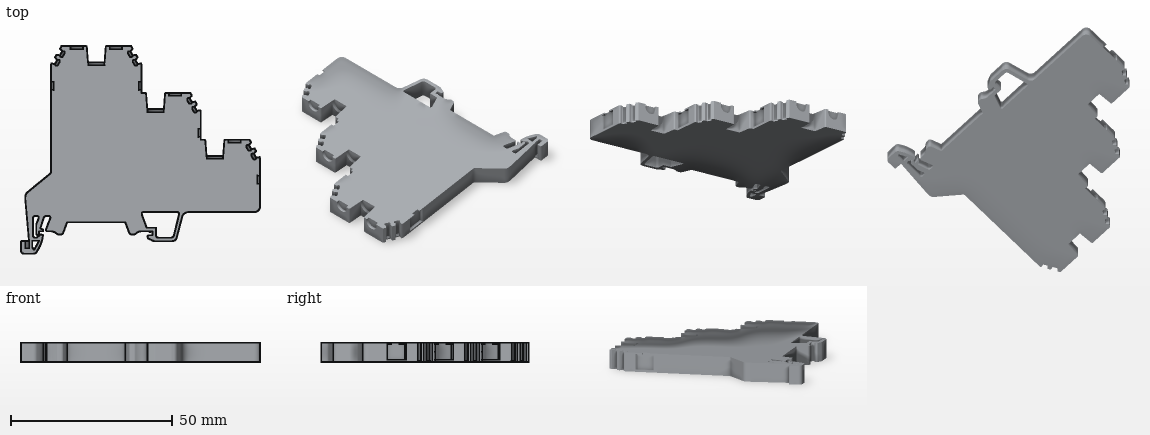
import cadquery as cq
import math

LENGTH = 74.3
HEIGHT = 64.51
THICKNESS = 6.0

TOWER_COUNT = 3
TOWER_PITCH = 18.4
TOWER_DROP = 14.55
TOWER_WIDTH = 28.15
TOWER_LEFT = LENGTH - (TOWER_COUNT - 1) * TOWER_PITCH - TOWER_WIDTH
EDGE_TO_VALLEY = TOWER_WIDTH / 2
EDGE_TO_SCREW = 8.0

VALLEY_TOP_WIDTH = 5.8
VALLEY_FLOOR_WIDTH = 5.1
VALLEY_DEPTH = 5.0
VALLEY_RIM_RADIUS = 0.4

BORE_AXIS_Z = 5.2
SCREW_BORE_RADIUS = 2.05
JUMPER_BORE_RADIUS = 2.6
BORE_DEPTH = 0.95

BEVEL_WIDTH = 3.28
BEVEL_HEIGHT = 5.7
BEVEL_LENGTH = math.hypot(BEVEL_WIDTH, BEVEL_HEIGHT)
BEVEL_EASE = 0.38
BEVEL_EASE_RADIUS = 1.4
NOTCH_COUNT = 2
NOTCH_FIRST = 2.05
NOTCH_PITCH = 3.1
NOTCH_MOUTH_WIDTH = 2.05
NOTCH_NECK_WIDTH = 1.5
NOTCH_DEPTH = 1.0
TAG_SLOT_LENGTH = 2.0
TAG_SLOT_WIDTH = 1.0
BLIND_FLOOR = 0.4

ENTRY_TOP = 9.0
ENTRY_BOTTOM = 14.9
ENTRY_SLOPE = 0.5
ENTRY_DEPTH = 0.9
ENTRY_Z_MIN = 0.67
ENTRY_Z_MAX = 5.55
ENTRY_WINDOW_TOP = 11.15
ENTRY_WINDOW_BOTTOM = 13.65

BASE_Y = 12.9
RAIL_SEAT_Y = 9.78
RAIL_LIP_Y = 6.95
RAIL_NOSE_Y = 5.97
CLAMP_FLOOR_Y = 5.02
CLAMP_FOOT_Y = 3.82
RELIEF_SLOT_TOP_Y = 11.7
RELIEF_SLOT_BOTTOM_Y = 5.02
BASE_CORNER_RADIUS = 1.9

RAIL_CENTRE_X = 23.4
NOSE_LIP_END = 14.04
NOSE_BLEND = (12.3, 6.24)
NOSE_FLAT_OUTER = 11.65
NOSE_FLAT_INNER = 11.0
NOSE_FLANK = (10.2, 6.54)
RAIL_SEAT_HALF = 9.0
NOSE_BLEND_RADIUS = 2.5
NOSE_OUTER_RADIUS = 0.9
NOSE_INNER_RADIUS = 0.85

TAB_TOP_Y = 4.05
TAB_CORNER_RADIUS = 1.0
TAB_RIM_RADIUS = 0.45
TAB_POCKET = ((1.43, 1.7), (2.63, TAB_TOP_Y))


def tower_edge(index):
    """Right-hand X and top Y of one tower, counted from the tallest."""
    right = LENGTH - (TOWER_COUNT - 1 - index) * TOWER_PITCH
    return right, HEIGHT - index * TOWER_DROP


def extrude_full(sketch):
    return sketch.close().extrude(THICKNESS)


def housing():
    """Housing block with the three tower steps and the sloped left shoulder."""
    ease_x = BEVEL_EASE * BEVEL_WIDTH / BEVEL_LENGTH
    ease_y = BEVEL_EASE * BEVEL_HEIGHT / BEVEL_LENGTH
    bevel_foot = HEIGHT - BEVEL_HEIGHT
    outline = (
        cq.Workplane("XY")
        .moveTo(TOWER_LEFT, bevel_foot - BEVEL_EASE)
        .radiusArc((TOWER_LEFT + ease_x, bevel_foot + ease_y), BEVEL_EASE_RADIUS)
        .lineTo(TOWER_LEFT + BEVEL_WIDTH, HEIGHT)
    )
    for index in range(TOWER_COUNT):
        right, top = tower_edge(index)
        bevel_foot = top - BEVEL_HEIGHT
        outline = (
            outline.lineTo(right - BEVEL_WIDTH, top)
            .lineTo(right - ease_x, bevel_foot + ease_y)
            .radiusArc((right, bevel_foot - BEVEL_EASE), BEVEL_EASE_RADIUS)
        )
        if index < TOWER_COUNT - 1:
            outline = outline.lineTo(right, top - TOWER_DROP)
    r = BASE_CORNER_RADIUS
    outline = outline.lineTo(LENGTH, BASE_Y + r).radiusArc((LENGTH - r, BASE_Y), r)
    outline = rail_clamp_edge(outline)
    outline = rail_seat_edge(outline)
    outline = release_foot_edge(outline)
    outline = shoulder_edge(outline)
    return extrude_full(outline)


def rail_clamp_edge(outline):
    """Fixed rail hook below the housing, drawn from right to left."""
    return (
        outline.lineTo(52.0, BASE_Y)
        .radiusArc((50.1, 11.4), -1.95)
        .lineTo(48.45, 5.1)
        .radiusArc((47.65, 4.05), 1.7)
        .lineTo(46.8, CLAMP_FOOT_Y)
        .lineTo(41.8, CLAMP_FOOT_Y)
        .radiusArc((41.3, 3.9), 1.6)
        .lineTo(39.36, 4.78)
        .lineTo(39.3, 5.45)
        .lineTo(39.7, 5.78)
        .lineTo(40.85, 5.78)
        .lineTo(40.85, RAIL_LIP_Y)
        .lineTo(40.4, RAIL_LIP_Y)
        .lineTo(40.1, 6.65)
        .lineTo(39.75, RAIL_LIP_Y)
    )


def rail_seat_edge(outline):
    """Flat rail seat between its two mirrored noses, drawn from right to left."""
    blend_x, blend_y = NOSE_BLEND
    flank_x, flank_y = NOSE_FLANK
    return (
        outline.lineTo(RAIL_CENTRE_X + NOSE_LIP_END, RAIL_LIP_Y)
        .radiusArc((RAIL_CENTRE_X + blend_x, blend_y), -NOSE_BLEND_RADIUS)
        .radiusArc((RAIL_CENTRE_X + NOSE_FLAT_OUTER, RAIL_NOSE_Y), NOSE_OUTER_RADIUS)
        .lineTo(RAIL_CENTRE_X + NOSE_FLAT_INNER, RAIL_NOSE_Y)
        .radiusArc((RAIL_CENTRE_X + flank_x, flank_y), NOSE_INNER_RADIUS)
        .lineTo(RAIL_CENTRE_X + RAIL_SEAT_HALF, RAIL_SEAT_Y)
        .lineTo(RAIL_CENTRE_X - RAIL_SEAT_HALF, RAIL_SEAT_Y)
        .lineTo(RAIL_CENTRE_X - flank_x, flank_y)
        .radiusArc((RAIL_CENTRE_X - NOSE_FLAT_INNER, RAIL_NOSE_Y), NOSE_INNER_RADIUS)
        .lineTo(RAIL_CENTRE_X - NOSE_FLAT_OUTER, RAIL_NOSE_Y)
        .radiusArc((RAIL_CENTRE_X - blend_x, blend_y), NOSE_OUTER_RADIUS)
        .radiusArc((RAIL_CENTRE_X - NOSE_LIP_END, RAIL_LIP_Y), -NOSE_BLEND_RADIUS)
    )


def release_foot_edge(outline):
    """Spring foot with its relief slots and release tab, drawn from right to left."""
    r = TAB_CORNER_RADIUS
    rim = TAB_RIM_RADIUS
    return (
        outline.lineTo(8.1, RAIL_LIP_Y)
        .radiusArc((7.85, 7.75), 0.6)
        .lineTo(9.1, 11.0)
        .radiusArc((8.6, RELIEF_SLOT_TOP_Y), -0.5)
        .lineTo(7.8, RELIEF_SLOT_TOP_Y)
        .radiusArc((7.1, 11.0), -0.9)
        .lineTo(6.1, 7.95)
        .lineTo(6.95, 7.5)
        .lineTo(6.95, RAIL_LIP_Y)
        .lineTo(5.66, RAIL_LIP_Y)
        .lineTo(5.66, 6.1)
        .radiusArc((5.2, 5.7), 0.35)
        .lineTo(4.75, 6.2)
        .lineTo(4.75, 9.15)
        .lineTo(5.5, 11.0)
        .radiusArc((5.0, RELIEF_SLOT_TOP_Y), -0.5)
        .lineTo(4.4, RELIEF_SLOT_TOP_Y)
        .radiusArc((3.83, 11.15), -0.6)
        .lineTo(3.83, 5.6)
        .radiusArc((4.4, RELIEF_SLOT_BOTTOM_Y), -0.6)
        .lineTo(4.85, RELIEF_SLOT_BOTTOM_Y)
        .lineTo(6.2, 6.05)
        .lineTo(6.95, 5.8)
        .threePointArc((6.18, 2.85), (5.04, 0.75))
        .radiusArc((3.84, 0), 1.33)
        .lineTo(r, 0)
        .radiusArc((0, r), r)
        .lineTo(0, TAB_TOP_Y - rim)
        .radiusArc((rim, TAB_TOP_Y), rim)
        .lineTo(2.5, TAB_TOP_Y)
    )


def shoulder_edge(outline):
    """Outer side of the spring leg and the sloped shoulder, drawn upwards to the tallest tower."""
    return (
        outline.lineTo(1.37, 16.7)
        .lineTo(1.37, 17.65)
        .radiusArc((2.03, 19.1), 1.95)
        .lineTo(8.99, 24.8)
        .radiusArc((TOWER_LEFT, 25.5), -0.95)
    )


def clamp_opening():
    """Opening that makes the fixed rail hook springy."""
    outline = (
        cq.Workplane("XY")
        .moveTo(38.0, BASE_Y)
        .lineTo(48.7, BASE_Y)
        .radiusArc((49.1, 12.3), 0.5)
        .lineTo(47.5, 5.8)
        .radiusArc((46.6, CLAMP_FLOOR_Y), 1.0)
        .lineTo(42.7, CLAMP_FLOOR_Y)
        .radiusArc((42.0, 5.7), 0.7)
        .lineTo(42.0, 8.1)
        .lineTo(39.1, 8.1)
        .lineTo(37.55, 12.3)
        .radiusArc((38.0, BASE_Y), 0.5)
    )
    return extrude_full(outline)


def heel_opening():
    """Roughly triangular opening in the heel of the spring foot."""
    corners = [(3.55, TAB_TOP_Y), (5.65, TAB_TOP_Y), (4.1, 1.2), (3.6, 2.0)]
    return extrude_full(cq.Workplane("XY").polyline(corners))


def valley(index):
    right, top = tower_edge(index)
    centre = right - EDGE_TO_VALLEY
    half_top = VALLEY_TOP_WIDTH / 2
    half_floor = VALLEY_FLOOR_WIDTH / 2
    floor = top - VALLEY_DEPTH
    r = VALLEY_RIM_RADIUS
    outline = (
        cq.Workplane("XY")
        .moveTo(centre - half_top - r, top)
        .radiusArc((centre - half_top, top - r), r)
        .lineTo(centre - half_floor, floor)
        .lineTo(centre + half_floor, floor)
        .lineTo(centre + half_top, top - r)
        .radiusArc((centre + half_top + r, top), r)
    )
    return extrude_full(outline)


def bore(x, top, radius):
    """Bore along -Y whose wall breaks through the upper face."""
    mouth = cq.Vector(x, top, BORE_AXIS_Z)
    cylinder = cq.Solid.makeCylinder(radius, BORE_DEPTH, mouth, cq.Vector(0, -1, 0))
    return cq.Workplane(obj=cylinder)


def tag_notches(corner_x, corner_y, side):
    """Two flared notches and their blind tag slots along a bevel; side is 1 for right, -1 for left."""
    along = cq.Vector(side * BEVEL_WIDTH, -BEVEL_HEIGHT, 0) / BEVEL_LENGTH
    start = cq.Vector(corner_x - side * BEVEL_WIDTH, corner_y, 0)
    cuts = cq.Workplane("XY")
    for number in range(NOTCH_COUNT):
        origin = start + along * (NOTCH_FIRST + number * NOTCH_PITCH)
        plane = cq.Plane(origin=origin.toTuple(), xDir=along.toTuple(), normal=(0, 0, 1))
        inward = -side * NOTCH_DEPTH
        mouth = (
            cq.Workplane(plane)
            .moveTo(-NOTCH_MOUTH_WIDTH / 2, 0)
            .lineTo(NOTCH_MOUTH_WIDTH / 2, 0)
            .lineTo(NOTCH_NECK_WIDTH / 2, inward)
            .lineTo(-NOTCH_NECK_WIDTH / 2, inward)
        )
        slot_centre = inward - side * TAG_SLOT_WIDTH / 2
        slot = (
            cq.Workplane(plane)
            .workplane(offset=BLIND_FLOOR)
            .center(0, slot_centre)
            .slot2D(TAG_SLOT_LENGTH, TAG_SLOT_WIDTH)
            .extrude(THICKNESS - BLIND_FLOOR)
        )
        cuts = cuts.add(extrude_full(mouth)).add(slot)
    return cuts.combine()


def wire_entry(wall_x, top, side):
    """Wire entry pocket in a side wall, with a window through the upper face."""
    inner_x = wall_x - side * ENTRY_DEPTH
    pocket = (
        cq.Workplane("XY", origin=(0, 0, ENTRY_Z_MIN))
        .moveTo(wall_x, top - ENTRY_TOP)
        .lineTo(inner_x, top - ENTRY_TOP - ENTRY_SLOPE)
        .lineTo(inner_x, top - ENTRY_BOTTOM)
        .lineTo(wall_x, top - ENTRY_BOTTOM)
        .close()
        .extrude(ENTRY_Z_MAX - ENTRY_Z_MIN)
    )
    window = (
        cq.Workplane("XY", origin=(0, 0, ENTRY_Z_MIN))
        .moveTo(wall_x, top - ENTRY_WINDOW_TOP)
        .lineTo(inner_x, top - ENTRY_WINDOW_TOP)
        .lineTo(inner_x, top - ENTRY_WINDOW_BOTTOM)
        .lineTo(wall_x, top - ENTRY_WINDOW_BOTTOM)
        .close()
        .extrude(THICKNESS - ENTRY_Z_MIN)
    )
    return pocket.union(window)


def tab_pocket():
    """Blind pocket in the release tab, open towards the housing."""
    (left, bottom), (right, top) = TAB_POCKET
    size = (right - left, top - bottom, THICKNESS - BLIND_FLOOR)
    return cq.Workplane("XY").box(*size, centered=False).translate((left, bottom, BLIND_FLOOR))


result = housing().cut(clamp_opening()).cut(heel_opening()).cut(tab_pocket())

for tower in range(TOWER_COUNT):
    edge, crest = tower_edge(tower)
    valley_x = edge - EDGE_TO_VALLEY
    result = result.cut(valley(tower))
    result = result.cut(bore(valley_x, crest - VALLEY_DEPTH, JUMPER_BORE_RADIUS))
    result = result.cut(bore(edge - EDGE_TO_SCREW, crest, SCREW_BORE_RADIUS))
    result = result.cut(tag_notches(edge, crest, 1))
    result = result.cut(wire_entry(edge, crest, 1))

result = result.cut(bore(TOWER_LEFT + EDGE_TO_SCREW, HEIGHT, SCREW_BORE_RADIUS))
result = result.cut(tag_notches(TOWER_LEFT, HEIGHT, -1))
result = result.cut(wire_entry(TOWER_LEFT, HEIGHT, -1))